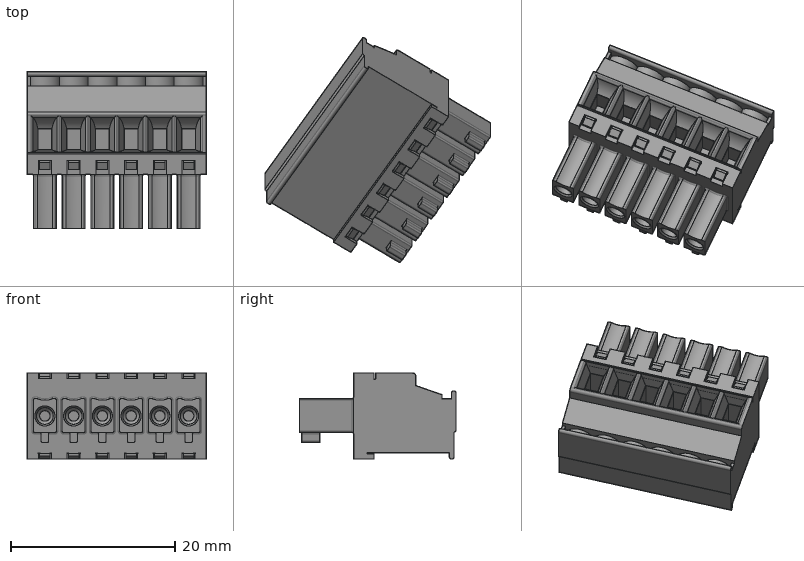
import cadquery as cq
import math

POLES = 6
PITCH = 3.5
BODY_WIDTH = 21.8
BODY_DEPTH = 12.5
BODY_HEIGHT = 10.5
POLE_X = [(i - (POLES - 1) / 2) * PITCH for i in range(POLES)]

LIP_THICKNESS = 0.6
LIP_TOP = 8.33
GROOVE_FLOOR = 7.37
ROOF_FRONT_Y = 7.6
ROOF_FRONT_Z = 8.97
ROOF_BACK_Y = 10.78
ROOF_BACK_Z = 7.86
TOP_ROUND = 0.38
BACK_STEP = 0.25
BACK_STEP_Z = 3.24
FOOT_DEPTH = 2.5
UNDERSIDE_Z = 0.78

BARREL_RADIUS = 1.95

SLIT_WIDTH = 0.18
SLIT_DEPTH = 0.82
SLIT_FLOOR_RISE = 0.1
FOOT_SLIT_HEIGHT = 0.09

CELL_HALF_WIDTH = 1.71
CELL_FRONT_Y = 2.74
CELL_BACK_Y = 7.16
CELL_ROUND = 0.26
FUNNEL_DEPTH = 1.75
SCOOP_SAG = 0.2
FUNNEL_FLOOR_HALF_WIDTH = 0.86
FUNNEL_FLOOR_FRONT_Y = 2.95
FUNNEL_FLOOR_BACK_Y = 5.58
SHAFT_LEDGE = 0.05
SHAFT_DEPTH = 5.0

NOTCH_HALF_WIDTH = 0.79
NOTCH_LENGTH = 1.71
NOTCH_DEPTH = 0.7
WEDGE_HALF_WIDTH = 0.65
WEDGE_FRONT_Y = 0.59
WEDGE_BACK_Y = 1.44
WEDGE_FRONT_DROP = 0.4
WEDGE_BACK_DROP = 0.07

SLEEVE_LENGTH = 6.6
SLEEVE_HALF_WIDTH = 1.405
SLEEVE_BOTTOM = 3.25
SLEEVE_TOP = 7.38
SLEEVE_ROUND = 0.19
FLUTE_HALF_WIDTH = 0.93
FLUTE_DEPTH = 0.2
BASE_FILLET = 0.18
ROOT_DEPTH = 1.0
ROOT_MARGIN = 0.5
BORE_Z = 5.27
MOUTH_RADIUS = 1.22
THROAT_RADIUS = 1.02
BORE_RADIUS = 0.64
MOUTH_DEPTH = 0.22
THROAT_DEPTH = 0.98
CONE_DEPTH = 1.4
BORE_DEPTH = 5.0

KEY_HALF_WIDTH = 0.45
KEY_FRONT_Y = -6.33
KEY_BACK_Y = -4.09
KEY_BOTTOM = 2.03
KEY_ROUND = 0.2
KEY_FLARE = 0.16


def box(x0, x1, y0, y1, z0, z1):
    return cq.Workplane("XY").box(x1 - x0, y1 - y0, z1 - z0, centered=False).translate((x0, y0, z0))


def extrude_side_profile(profile, half_width):
    """Extrude a closed YZ profile symmetrically about X = 0."""
    return profile.extrude(half_width, both=True)


def make_housing():
    lip_radius = LIP_THICKNESS / 2
    lip_front = BODY_DEPTH - LIP_THICKNESS
    skirt_back = BODY_DEPTH - BACK_STEP
    skirt_front = skirt_back - LIP_THICKNESS
    profile = (
        cq.Workplane("YZ")
        .moveTo(0, 0)
        .lineTo(0, BODY_HEIGHT)
        .lineTo(ROOF_FRONT_Y - TOP_ROUND, BODY_HEIGHT)
        .tangentArcPoint((TOP_ROUND, -TOP_ROUND))
        .lineTo(ROOF_FRONT_Y, ROOF_FRONT_Z)
        .lineTo(ROOF_BACK_Y, ROOF_BACK_Z)
        .lineTo(ROOF_BACK_Y, GROOVE_FLOOR)
        .lineTo(lip_front, GROOVE_FLOOR)
        .lineTo(lip_front, LIP_TOP - lip_radius)
        .threePointArc((lip_front + lip_radius, LIP_TOP), (BODY_DEPTH, LIP_TOP - lip_radius))
        .lineTo(BODY_DEPTH, BACK_STEP_Z + BACK_STEP)
        .lineTo(skirt_back, BACK_STEP_Z)
        .lineTo(skirt_back, lip_radius)
        .threePointArc((skirt_back - lip_radius, 0), (skirt_front, lip_radius))
        .lineTo(skirt_front, UNDERSIDE_Z)
        .lineTo(FOOT_DEPTH, UNDERSIDE_Z)
        .lineTo(FOOT_DEPTH, 0)
        .close()
    )
    return extrude_side_profile(profile, BODY_WIDTH / 2)


def make_slits():
    half = BODY_WIDTH / 2
    slit_floor = BODY_HEIGHT - SLIT_DEPTH
    top = (
        cq.Workplane("YZ")
        .moveTo(FOOT_DEPTH, BODY_HEIGHT)
        .lineTo(FOOT_DEPTH, slit_floor)
        .lineTo(FOOT_DEPTH + SLIT_WIDTH, slit_floor + SLIT_FLOOR_RISE)
        .lineTo(FOOT_DEPTH + SLIT_WIDTH, BODY_HEIGHT)
        .close()
    )
    top = extrude_side_profile(top, half)
    foot = box(-half, half, FOOT_DEPTH - SLIT_DEPTH, FOOT_DEPTH, UNDERSIDE_Z - FOOT_SLIT_HEIGHT, UNDERSIDE_Z)
    return top.union(foot)


def make_groove_trench():
    """Trench between roof and lip, leaving a row of touching barrels standing in it."""
    half = POLES * PITCH / 2
    lip_front = BODY_DEPTH - LIP_THICKNESS
    axis_z = GROOVE_FLOOR - BARREL_RADIUS
    trench = box(-half, half, ROOF_BACK_Y, lip_front, axis_z, GROOVE_FLOOR)
    for x in POLE_X:
        barrel = (
            cq.Workplane("XZ", origin=(x, lip_front, axis_z))
            .circle(BARREL_RADIUS)
            .extrude(lip_front - ROOF_BACK_Y)
        )
        trench = trench.cut(barrel)
    return trench


def make_wire_funnel():
    """Funnel at X = 0: rounded rim, tapered sides, scooped back wall, ledged shaft below."""
    rim_z = BODY_HEIGHT - CELL_ROUND
    floor_z = BODY_HEIGHT - FUNNEL_DEPTH
    wall_x = CELL_HALF_WIDTH - CELL_ROUND
    wall_y = CELL_BACK_Y - CELL_ROUND
    arc_mid = CELL_ROUND * (1 - math.sqrt(0.5))
    across = (
        cq.Workplane("XZ")
        .moveTo(-CELL_HALF_WIDTH, BODY_HEIGHT)
        .threePointArc((-wall_x - arc_mid, BODY_HEIGHT - arc_mid), (-wall_x, rim_z))
        .lineTo(-FUNNEL_FLOOR_HALF_WIDTH, floor_z)
        .lineTo(FUNNEL_FLOOR_HALF_WIDTH, floor_z)
        .lineTo(wall_x, rim_z)
        .threePointArc((wall_x + arc_mid, BODY_HEIGHT - arc_mid), (CELL_HALF_WIDTH, BODY_HEIGHT))
        .close()
        .extrude(-BODY_DEPTH)
    )
    along = (
        cq.Workplane("YZ")
        .moveTo(CELL_FRONT_Y, BODY_HEIGHT)
        .lineTo(FUNNEL_FLOOR_FRONT_Y, floor_z)
        .lineTo(FUNNEL_FLOOR_BACK_Y, floor_z)
        .lineTo(wall_y, rim_z)
        .threePointArc((wall_y + arc_mid, BODY_HEIGHT - arc_mid), (CELL_BACK_Y, BODY_HEIGHT))
        .close()
    )
    along = extrude_side_profile(along, PITCH)
    run = wall_y - FUNNEL_FLOOR_BACK_Y
    drop = rim_z - floor_z
    chord = math.hypot(run, drop)
    scoop_mid = (
        FUNNEL_FLOOR_BACK_Y + run / 2 + SCOOP_SAG * drop / chord,
        floor_z + drop / 2 - SCOOP_SAG * run / chord,
    )
    scoop = (
        cq.Workplane("YZ")
        .moveTo(FUNNEL_FLOOR_BACK_Y, floor_z)
        .threePointArc(scoop_mid, (wall_y, rim_z))
        .close()
    )
    along = along.union(extrude_side_profile(scoop, PITCH))
    shaft_x = FUNNEL_FLOOR_HALF_WIDTH - SHAFT_LEDGE
    shaft_front = FUNNEL_FLOOR_FRONT_Y + SHAFT_LEDGE
    shaft_back = FUNNEL_FLOOR_BACK_Y - SHAFT_LEDGE
    shaft = box(-shaft_x, shaft_x, shaft_front, shaft_back, BODY_HEIGHT - SHAFT_DEPTH, floor_z)
    return across.intersect(along).union(shaft)


def make_top_notch():
    """Latch notch at X = 0 in the top front edge, with its ramp left standing inside."""
    floor_z = BODY_HEIGHT - NOTCH_DEPTH
    notch = box(-NOTCH_HALF_WIDTH, NOTCH_HALF_WIDTH, 0, NOTCH_LENGTH, floor_z, BODY_HEIGHT)
    ramp = (
        cq.Workplane("YZ")
        .moveTo(WEDGE_FRONT_Y, floor_z)
        .lineTo(WEDGE_FRONT_Y, BODY_HEIGHT - WEDGE_FRONT_DROP)
        .lineTo(WEDGE_BACK_Y, BODY_HEIGHT - WEDGE_BACK_DROP)
        .lineTo(NOTCH_LENGTH, BODY_HEIGHT - WEDGE_BACK_DROP)
        .lineTo(NOTCH_LENGTH, floor_z)
        .close()
    )
    return notch.cut(extrude_side_profile(ramp, WEDGE_HALF_WIDTH))


def make_bottom_notch():
    return make_top_notch().mirror("XY", (0, 0, BODY_HEIGHT / 2))


def make_sleeve():
    """Contact sleeve at X = 0: rounded bar with a fluted top, blended into a root inside the housing."""
    flute_radius = (FLUTE_HALF_WIDTH**2 + FLUTE_DEPTH**2) / (2 * FLUTE_DEPTH)
    flute_z = SLEEVE_TOP - FLUTE_DEPTH + flute_radius
    bar = (
        box(-SLEEVE_HALF_WIDTH, SLEEVE_HALF_WIDTH, -SLEEVE_LENGTH, 0, SLEEVE_BOTTOM, SLEEVE_TOP)
        .edges("|Y")
        .fillet(SLEEVE_ROUND)
    )
    flute = cq.Workplane("XZ", origin=(0, 0, flute_z)).circle(flute_radius).extrude(SLEEVE_LENGTH)
    root = box(
        -PITCH / 2, PITCH / 2, 0, ROOT_DEPTH, SLEEVE_BOTTOM - ROOT_MARGIN, SLEEVE_TOP + ROOT_MARGIN
    )
    base_edges = cq.selectors.BoxSelector(
        (-PITCH / 2 + BASE_FILLET, -BASE_FILLET, SLEEVE_BOTTOM - BASE_FILLET),
        (PITCH / 2 - BASE_FILLET, BASE_FILLET, SLEEVE_TOP + BASE_FILLET),
        boundingbox=True,
    )
    return root.union(bar.cut(flute)).edges(base_edges).fillet(BASE_FILLET)


def make_key():
    """Key at X = 0: rounded lower edges, sides flaring out where they meet the sleeve."""
    flare_x = KEY_HALF_WIDTH + KEY_FLARE
    flare_z = SLEEVE_BOTTOM - KEY_FLARE
    root_z = SLEEVE_BOTTOM + SLEEVE_ROUND
    key = (
        cq.Workplane("XZ", origin=(0, KEY_BACK_Y, 0))
        .moveTo(-KEY_HALF_WIDTH, KEY_BOTTOM)
        .lineTo(KEY_HALF_WIDTH, KEY_BOTTOM)
        .lineTo(KEY_HALF_WIDTH, flare_z)
        .tangentArcPoint((KEY_FLARE, KEY_FLARE))
        .lineTo(flare_x, root_z)
        .lineTo(-flare_x, root_z)
        .lineTo(-flare_x, SLEEVE_BOTTOM)
        .radiusArc((-KEY_HALF_WIDTH, flare_z), KEY_FLARE)
        .close()
        .extrude(KEY_BACK_Y - KEY_FRONT_Y)
    )
    return key.edges("|Y and <Z").fillet(KEY_ROUND)


def make_bore():
    """Bore at X = 0: flared mouth, straight throat, cone and narrower hole."""
    return (
        cq.Workplane("XY", origin=(0, -SLEEVE_LENGTH, BORE_Z))
        .moveTo(0, 0)
        .lineTo(MOUTH_RADIUS, 0)
        .lineTo(THROAT_RADIUS, MOUTH_DEPTH)
        .lineTo(THROAT_RADIUS, THROAT_DEPTH)
        .lineTo(BORE_RADIUS, CONE_DEPTH)
        .lineTo(BORE_RADIUS, BORE_DEPTH)
        .lineTo(0, BORE_DEPTH)
        .close()
        .revolve(360, (0, 0, 0), (0, 1, 0))
    )


def repeat(feature):
    """Copy a feature built at X = 0 to every pole."""
    row = cq.Workplane("XY")
    for x in POLE_X:
        row = row.add(feature.translate((x, 0, 0)))
    return row.combine()


body = make_housing().union(repeat(make_sleeve()))
body = body.union(repeat(make_key()))
for cutter in (make_wire_funnel(), make_top_notch(), make_bottom_notch(), make_bore()):
    body = body.cut(repeat(cutter))
result = body.cut(make_slits()).cut(make_groove_trench())